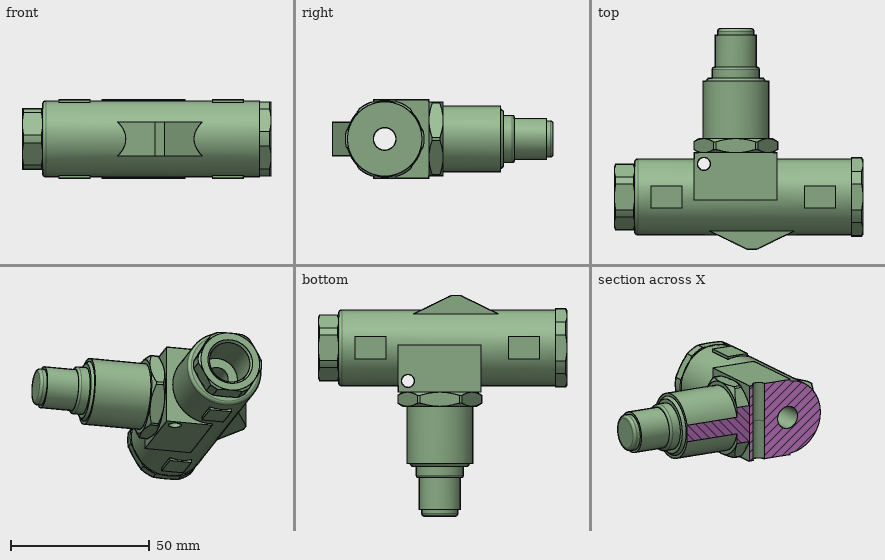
import cadquery as cq


total_length = 90.0
tube_radius = 13.8
tube_start = 7.3
tube_end = 85.9
tube_edge_fillet = 1.2

port_hex_flats = 22.0
port_hex_round = 23.85
port_hex_chamfer = 0.45
port_bore_radius = 7.6
port_bore_depth = 18.0
port_bore_chamfer = 0.8
passage_radius = 4.05

cap_flats = 26.9
cap_round = 28.5
cap_chamfer = 0.5

block_height = 28.5
block_left = 28.8
block_right = 58.9
block_front = -1.1
block_back = 16.0
mount_hole_diameter = 4.6
mount_hole_inset = 3.6
mount_hole_from_back = 4.05
pad_length = 11.25
pad_width = 8.1
pad_starts = (13.2, 68.8)

wedge_height = 12.2
wedge_tip_y = -19.0
wedge_center_x = 49.8
wedge_tip_half_width = 1.7
wedge_flank_slope = 0.49

fitting_x = 43.9
fitting_hex_flats = 26.8
fitting_hex_round = 30.4
fitting_hex_thickness = 5.1
fitting_hex_chamfer = 1.2
barrel_radius = 12.0
barrel_end = 41.9
shoulder_base_radius = 10.9
shoulder_top_radius = 10.0
shoulder_end = 43.0
collar_radius = 8.55
collar_end = 47.0
collar_fillet = 0.8
neck_radius = 7.5
neck_end = 58.6
tip_radius = 6.6
tip_end = 61.0
tip_fillet = 1.1


def turned_hexagon(plane, across_flats, round_diameter, thickness, chamfered_faces, chamfer_length):
    """Hexagon with flats up and down, its corners turned to a cylinder chamfered down to the flats."""
    hexagon = cq.Workplane(plane).polygon(6, across_flats, circumscribed=True).extrude(thickness)
    radial_chamfer = (round_diameter - across_flats) / 2
    cylinder = cq.Workplane(plane).circle(round_diameter / 2).extrude(thickness)
    cylinder = cylinder.faces(chamfered_faces).chamfer(chamfer_length, radial_chamfer)
    return hexagon.intersect(cylinder)


def run_tube():
    tube = cq.Workplane("YZ", origin=(tube_start, 0, 0)).circle(tube_radius).extrude(tube_end - tube_start)
    return tube.faces("<X").edges().fillet(tube_edge_fillet)


def port_hexagon():
    plane = cq.Plane(origin=(0, 0, 0), xDir=(0, 0, 1), normal=(1, 0, 0))
    return turned_hexagon(
        plane, port_hex_flats, port_hex_round, tube_start, "<X or >X", port_hex_chamfer
    )


def cap_hexagon():
    plane = cq.Plane(origin=(tube_end, 0, 0), xDir=(0, 0, 1), normal=(1, 0, 0))
    return turned_hexagon(
        plane, cap_flats, cap_round, total_length - tube_end, ">X", cap_chamfer
    )


def block():
    length = block_right - block_left
    depth = block_back - block_front
    blank = cq.Workplane("XY").box(length, depth, block_height, centered=(False, False, True))
    return blank.translate((block_left, block_front, 0))


def pad_pair(start):
    """Bar through the tube whose two ends stand out as flat pads."""
    bar = cq.Workplane("XY").box(pad_length, pad_width, block_height, centered=(False, True, True))
    return bar.translate((start, 0, 0))


def wedge():
    base_y = -tube_radius / 2
    base_half_width = wedge_tip_half_width + (base_y - wedge_tip_y) / wedge_flank_slope
    return (
        cq.Workplane("XY")
        .polyline([
            (wedge_center_x - base_half_width, base_y),
            (wedge_center_x - wedge_tip_half_width, wedge_tip_y),
            (wedge_center_x + wedge_tip_half_width, wedge_tip_y),
            (wedge_center_x + base_half_width, base_y),
        ])
        .close()
        .extrude(wedge_height / 2, both=True)
    )


def port_bore():
    """Stepped passage: chamfered port at the left, narrower hole through to the right."""
    return (
        cq.Workplane("XY")
        .polyline([
            (0, 0),
            (0, port_bore_radius + port_bore_chamfer),
            (port_bore_chamfer, port_bore_radius),
            (port_bore_depth, port_bore_radius),
            (port_bore_depth, passage_radius),
            (total_length, passage_radius),
            (total_length, 0),
        ])
        .close()
        .revolve(360, (0, 0, 0), (1, 0, 0))
    )


def mount_hole():
    return (
        cq.Workplane("XY")
        .center(block_left + mount_hole_inset, block_back - mount_hole_from_back)
        .circle(mount_hole_diameter / 2)
        .extrude(block_height, both=True)
    )


def make_housing():
    body = run_tube().union(port_hexagon()).union(cap_hexagon()).union(block()).union(wedge())
    for start in pad_starts:
        body = body.union(pad_pair(start))
    return body.cut(port_bore()).cut(mount_hole())


def fitting_hexagon():
    plane = cq.Plane(origin=(fitting_x, block_back, 0), xDir=(0, 0, 1), normal=(0, 1, 0))
    return turned_hexagon(
        plane,
        fitting_hex_flats,
        fitting_hex_round,
        fitting_hex_thickness,
        "<Y or >Y",
        fitting_hex_chamfer,
    )


def fitting_barrel():
    """Turned stack of barrel, shoulder, collar, neck and tip."""
    collar_round_start = collar_end - collar_fillet
    tip_round_start = tip_end - tip_fillet
    return (
        cq.Workplane("XY", origin=(fitting_x, 0, 0))
        .moveTo(0, block_back)
        .lineTo(barrel_radius, block_back)
        .lineTo(barrel_radius, barrel_end)
        .lineTo(shoulder_base_radius, barrel_end)
        .lineTo(shoulder_top_radius, shoulder_end)
        .lineTo(collar_radius, shoulder_end)
        .lineTo(collar_radius, collar_round_start)
        .tangentArcPoint((collar_radius - collar_fillet, collar_end), relative=False)
        .lineTo(neck_radius, collar_end)
        .lineTo(neck_radius, neck_end)
        .lineTo(tip_radius, neck_end)
        .lineTo(tip_radius, tip_round_start)
        .tangentArcPoint((tip_radius - tip_fillet, tip_end), relative=False)
        .lineTo(0, tip_end)
        .close()
        .revolve(360, (0, 0, 0), (0, 1, 0))
    )


def make_fitting():
    return fitting_hexagon().union(fitting_barrel())


housing = make_housing()
fitting = make_fitting()

result = cq.Compound.makeCompound([housing.val(), fitting.val()])